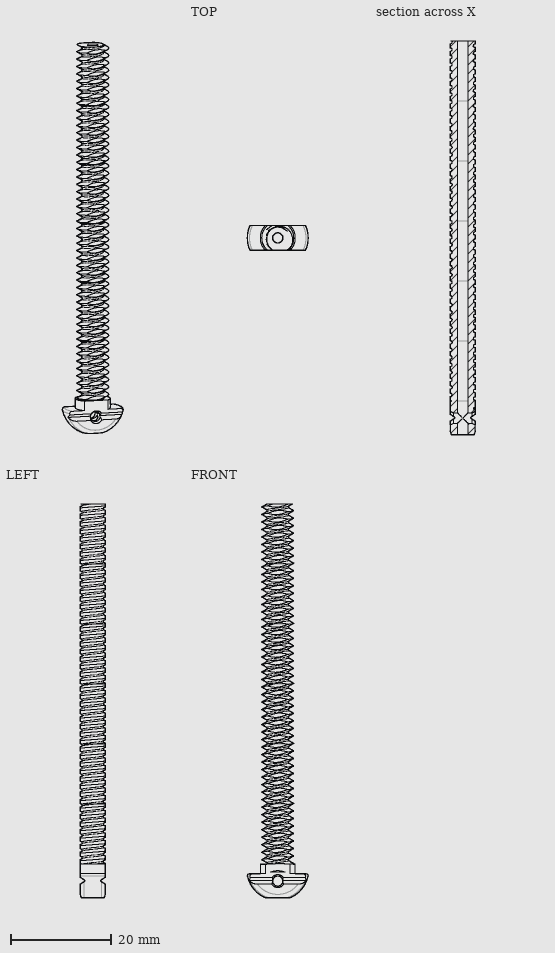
import cadquery as cq
import math

TOTAL_HEIGHT = 78.73
FLAT_WIDTH = 5.0
FLAT_Y = FLAT_WIDTH / 2
BORE_DIAMETER = 2.0
BORE_RADIUS = BORE_DIAMETER / 2

PITCH = 1.5
SHAFT_LENGTH = 72.0
SECTION_COUNT = 6
SECTION_LENGTH = SHAFT_LENGTH / SECTION_COUNT
CREST_RADIUS = 3.2
ROOT_RADIUS = 2.2
THREAD_ANGLE = 60.0
RIDGE_BASE = 2 * (CREST_RADIUS - ROOT_RADIUS) * math.tan(math.radians(THREAD_ANGLE / 2))
ROOT_WIDTH = PITCH - RIDGE_BASE
CREST_START_ANGLE = -35.0
FLANK_POINTS = 7

NECK_TOP = TOTAL_HEIGHT - SHAFT_LENGTH
NECK_RADIUS = 3.5

HEAD_RADIUS = 6.1
HEAD_HEIGHT = 4.83
DOME_RADIUS = 6.25
DOME_FOOT_RADIUS = 2.5
SIDE_FILLET = 1.0

GROOVE_Z = 3.43
GROOVE_HALF_HEIGHT = 0.68
GROOVE_DEPTH = 1.0
CROSS_HOLE_Z = 3.35
MOUTH_RADIUS = 1.3
MOUTH_DEPTH = 0.7
RECESS_HALF_WIDTH = 1.4
RECESS_BOTTOM = 5.15
RECESS_HEIGHT = 0.3
RECESS_DEPTH = FLAT_Y - ROOT_RADIUS


def make_slab(height):
    """Block between the two flats, standing on the XY plane."""
    return cq.Workplane("XY").box(4 * HEAD_RADIUS, FLAT_WIDTH, height, centered=(True, True, False))


def polar(radius, angle):
    return cq.Vector(radius * math.cos(angle), radius * math.sin(angle))


def flank_edge(start_angle, end_angle, start_radius, end_radius):
    """Spiral whose radius changes evenly with the angle."""
    points = []
    for index in range(FLANK_POINTS):
        share = index / (FLANK_POINTS - 1)
        radius = start_radius + share * (end_radius - start_radius)
        points.append(polar(radius, start_angle + share * (end_angle - start_angle)))
    return cq.Edge.makeSpline(points)


def arc_edge(radius, start_angle, end_angle):
    middle_angle = (start_angle + end_angle) / 2
    return cq.Edge.makeThreePointArc(
        polar(radius, start_angle), polar(radius, middle_angle), polar(radius, end_angle)
    )


def make_thread_section():
    """One length of thread: its level cross-section, twisted upwards once per pitch."""
    crest_angle = math.radians(CREST_START_ANGLE)
    root_angle = crest_angle + math.pi
    next_crest_angle = crest_angle + 2 * math.pi
    root_start = root_angle - math.pi * ROOT_WIDTH / PITCH
    root_end = root_angle + math.pi * ROOT_WIDTH / PITCH
    outline = cq.Wire.assembleEdges([
        flank_edge(crest_angle, root_start, CREST_RADIUS, ROOT_RADIUS),
        arc_edge(ROOT_RADIUS, root_start, root_end),
        flank_edge(root_end, next_crest_angle, ROOT_RADIUS, CREST_RADIUS),
    ])
    rise = cq.Vector(0, 0, SECTION_LENGTH)
    twist = 360 * SECTION_LENGTH / PITCH
    twisted = cq.Solid.extrudeLinearWithRotation(outline, [], cq.Vector(), rise, twist)
    bore = cq.Workplane("XY").circle(BORE_RADIUS).extrude(SECTION_LENGTH)
    return cq.Workplane(obj=twisted).intersect(make_slab(SECTION_LENGTH)).cut(bore)


def make_head():
    """Dome trimmed to the flats, grooved, and rounded at the rim and along the lower sides."""
    center_z = math.sqrt(DOME_RADIUS**2 - DOME_FOOT_RADIUS**2)
    rim_z = center_z - math.sqrt(DOME_RADIUS**2 - HEAD_RADIUS**2)
    rim_radius = HEAD_HEIGHT - rim_z
    rim_bulge = rim_radius * math.sqrt(0.5)
    bottom_z = center_z - DOME_RADIUS
    middle = polar(DOME_RADIUS, (math.atan2(rim_z - center_z, HEAD_RADIUS) - math.pi / 2) / 2)
    dome = (
        cq.Workplane("XZ")
        .moveTo(0, bottom_z)
        .threePointArc((middle.x, center_z + middle.y), (HEAD_RADIUS, rim_z))
        .threePointArc(
            (HEAD_RADIUS - rim_radius + rim_bulge, rim_z + rim_bulge),
            (HEAD_RADIUS - rim_radius, HEAD_HEIGHT),
        )
        .lineTo(0, HEAD_HEIGHT)
        .close()
        .revolve(360, (0, 0, 0), (0, 1, 0))
    )
    head = dome.intersect(make_slab(2 * HEAD_HEIGHT).translate((0, 0, -HEAD_HEIGHT)))
    for side in (-1, 1):
        head = head.cut(make_side_groove(side))
    below_groove = cq.selectors.BoxSelector(
        (-HEAD_RADIUS, -FLAT_WIDTH, -HEAD_HEIGHT),
        (HEAD_RADIUS, FLAT_WIDTH, GROOVE_Z - 2 * GROOVE_HALF_HEIGHT),
    )
    head = head.faces("<Y or >Y").edges(below_groove).fillet(SIDE_FILLET)
    return head.intersect(make_slab(HEAD_HEIGHT))


def make_neck():
    neck = cq.Workplane("XY").circle(NECK_RADIUS).extrude(NECK_TOP)
    return neck.intersect(make_slab(NECK_TOP)).cut(make_slab(HEAD_HEIGHT))


def make_side_groove(side):
    """V groove along X in one flat of the head; side is -1 or +1 for the -Y or +Y flat."""
    return (
        cq.Workplane("YZ")
        .polyline([
            (side * FLAT_Y, GROOVE_Z - GROOVE_HALF_HEIGHT),
            (side * (FLAT_Y - GROOVE_DEPTH), GROOVE_Z),
            (side * FLAT_Y, GROOVE_Z + GROOVE_HALF_HEIGHT),
        ])
        .close()
        .extrude(2 * HEAD_RADIUS, both=True)
    )


def make_cross_hole():
    """Hole along Y with a conical mouth in each flat."""
    return (
        cq.Workplane("XY")
        .polyline([
            (0, -FLAT_Y),
            (MOUTH_RADIUS, -FLAT_Y),
            (BORE_RADIUS, MOUTH_DEPTH - FLAT_Y),
            (BORE_RADIUS, FLAT_Y - MOUTH_DEPTH),
            (MOUTH_RADIUS, FLAT_Y),
            (0, FLAT_Y),
        ])
        .close()
        .revolve(360, (0, 0, 0), (0, 1, 0))
        .translate((0, 0, CROSS_HOLE_Z))
    )


def make_recess():
    """Shallow arched recess in the -Y flat of the neck."""
    return (
        cq.Workplane("XZ", origin=(0, -FLAT_Y, RECESS_BOTTOM))
        .moveTo(-RECESS_HALF_WIDTH, 0)
        .threePointArc((0, RECESS_HEIGHT), (RECESS_HALF_WIDTH, 0))
        .close()
        .extrude(-RECESS_DEPTH)
    )


def make_base():
    """Head and neck with all their openings."""
    base = make_head().union(make_neck())
    bore = cq.Workplane("XY").circle(BORE_RADIUS).extrude(NECK_TOP)
    return base.cut(bore).cut(make_cross_hole()).cut(make_recess())


def make_part():
    section = make_thread_section()
    sections = []
    for index in range(SECTION_COUNT):
        sections.append(section.translate((0, 0, NECK_TOP + index * SECTION_LENGTH)).val())
    return cq.Workplane(obj=make_base().val().fuse(*sections, glue=True).Solids()[0])


result = make_part()